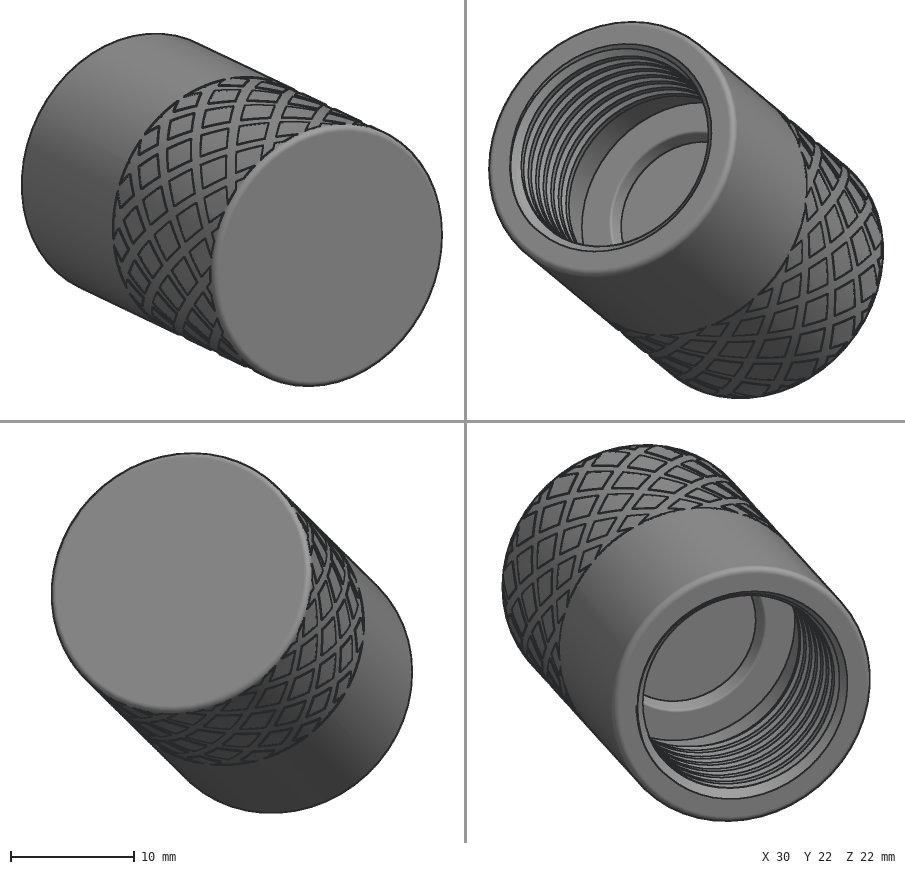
import cadquery as cq
import math

length = 30.0
outer_diameter = 22.0
rim_fillet = 0.5

knurl_start = 14.4
knurl_end = 29.4
knurl_root_diameter = 21.8
knurl_middle = 24.0
groove_width = 0.95
groove_angle = 40.0
groove_count = 15

minor_diameter = 16.5
major_diameter = 18.0
mouth_diameter = 17.88
pitch = 1.5
thread_end = 10.75
root_flat = 0.05
flank_angle = 30.0
thread_phase = 240.0

relief_diameter = 18.5
bore_depth = 15.0
recess_diameter = 12.6
recess_mouth_diameter = 13.35
recess_depth = 1.2
recess_fillet = 0.25


def cylinder(diameter, start, end):
    disc = cq.Workplane("YZ", origin=(start, 0, 0)).circle(diameter / 2)
    return disc.extrude(end - start)


def cone(start_diameter, end_diameter, start, end):
    return cq.Workplane(
        cq.Solid.makeCone(
            start_diameter / 2, end_diameter / 2, end - start, cq.Vector(start, 0, 0), cq.Vector(1, 0, 0)
        )
    )


def thread_cutter():
    """V-shaped ridge swept along a right-hand helix about X, from ahead of the mouth into the relief."""
    lead_in = 1.5 * pitch
    overlap = 0.15
    root_radius = major_diameter / 2
    inner_radius = minor_diameter / 2 - overlap
    root_half = root_flat / 2
    mouth_half = root_half + (root_radius - inner_radius) * math.tan(math.radians(flank_angle))
    turns_length = lead_in + thread_end + pitch / 2
    helix = cq.Wire.makeHelix(pitch, turns_length, inner_radius)
    ridge = (
        cq.Workplane("XZ")
        .moveTo(inner_radius, -mouth_half)
        .lineTo(root_radius, -root_half)
        .lineTo(root_radius, root_half)
        .lineTo(inner_radius, mouth_half)
        .close()
        .sweep(cq.Workplane(helix), isFrenet=True)
    )
    ridge = ridge.rotate((0, 0, 0), (0, 0, 1), thread_phase)
    return ridge.rotate((0, 0, 0), (0, 1, 0), 90).translate((-lead_in, 0, 0))


def knurl_grooves():
    """Network of crossing grooves: a thin ring without the diamonds that the two sets of slots leave."""
    ring = cylinder(outer_diameter + 0.3, knurl_start, knurl_end).cut(
        cylinder(knurl_root_diameter, knurl_start, knurl_end)
    )
    step = 360 / groove_count
    slots = []
    for side in (1, -1):
        slot = (
            cq.Workplane("XY", origin=(knurl_middle, 0, outer_diameter / 4))
            .transformed(rotate=(0, 0, side * groove_angle))
            .rect(3 * length, groove_width)
            .extrude(outer_diameter)
        )
        for i in range(groove_count):
            slots.append(slot.rotate((0, 0, 0), (1, 0, 0), (i - side / 4) * step).val())
    diamonds = ring.val().cut(*slots)
    return ring.cut(cq.Workplane(diamonds))


mouth_depth = (mouth_diameter - minor_diameter) / 2
bore = (
    cylinder(minor_diameter, 0, bore_depth)
    .union(thread_cutter().intersect(cylinder(outer_diameter, 0, bore_depth - pitch)))
    .union(cylinder(relief_diameter, thread_end, bore_depth))
    .union(cone(mouth_diameter, minor_diameter, 0, mouth_depth))
)
recess = cone(recess_mouth_diameter, recess_diameter, bore_depth, bore_depth + recess_depth)

body = cylinder(outer_diameter, 0, length).edges().fillet(rim_fillet)
body = body.cut(cylinder(minor_diameter, 0, bore_depth)).cut(recess)
body = body.edges(cq.selectors.RadiusNthSelector(2)).fillet(recess_fillet)
body = body.cut(bore)
result = body.cut(knurl_grooves())